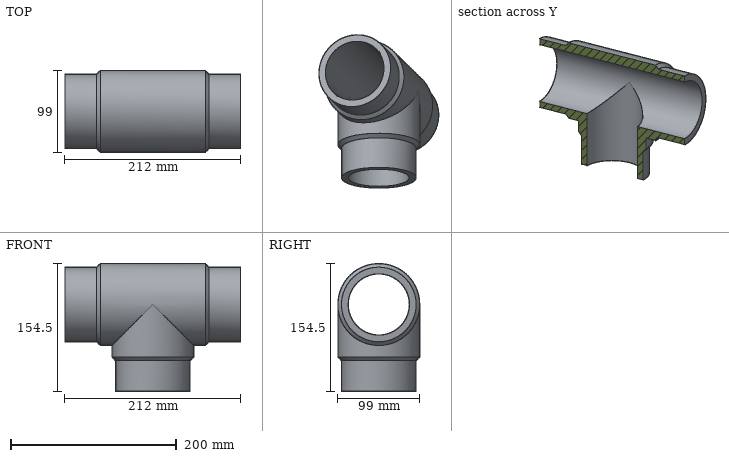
import cadquery as cq

run_length = 212.0
branch_length = 105.0
pipe_diameter = 90.0
body_diameter = 99.0
bore_diameter = 73.5
body_reach = 67.8

shoulder_chamfer = (body_diameter - pipe_diameter) / 2


def run_cylinder(diameter, length):
    """Cylinder along X, centred on the tee centre."""
    start = -length / 2
    return cq.Workplane("YZ").workplane(offset=start).circle(diameter / 2).extrude(length)


def branch_cylinder(diameter, length):
    """Cylinder from the tee centre down along -Z."""
    return cq.Workplane("XY").circle(diameter / 2).extrude(-length)


run_body = run_cylinder(body_diameter, 2 * body_reach).faces("<X or >X").chamfer(shoulder_chamfer)
branch_body = branch_cylinder(body_diameter, body_reach).faces("<Z").chamfer(shoulder_chamfer)

body = run_body.union(branch_body)

run_pipe = run_cylinder(pipe_diameter, run_length)
branch_pipe = branch_cylinder(pipe_diameter, branch_length)
outside = body.union(run_pipe).union(branch_pipe)

run_bore = run_cylinder(bore_diameter, run_length)
branch_bore = branch_cylinder(bore_diameter, branch_length)

result = outside.cut(run_bore).cut(branch_bore)